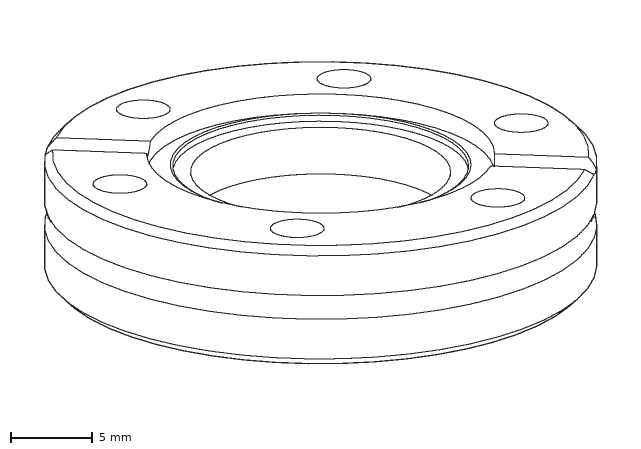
import cadquery as cq
import math

outer_radius = 34.0 / 2
height = 7.75
edge_chamfer = 0.5

bore_radius = 16.0 / 2
socket_radius = 18.0 / 2
socket_depth = 3.5

recess_radius = 21.4 / 2
recess_depth = 1.25
knife_radius = 18.5 / 2
knife_flank_angle = 20.0
knife_bevel_width = 0.15
knife_bevel_angle = 30.0
knife_bevel_drop = knife_bevel_width * math.tan(math.radians(knife_bevel_angle))
inner_floor_radius = knife_radius - knife_bevel_width
inner_floor_depth = 1.2
floor_height = height - inner_floor_depth
recess_corner_height = height - recess_depth
knife_rise = (recess_radius - knife_radius) * math.tan(math.radians(knife_flank_angle))
knife_height = recess_corner_height + knife_rise

bolt_count = 6
bolt_circle_radius = 27.0 / 2
bolt_hole_radius = 3.3 / 2

rim_groove_width = 1.55
rim_groove_depth = 0.2

leak_groove_angles = (30.0, 210.0)
leak_groove_radius = 1.3
leak_groove_depth = 0.6
rim_overrun = 1.0


def revolved_flange():
    """Body with bore, socket, knife edge and rim groove, from one half section (radius, height)."""
    middle = height / 2
    groove_bottom = middle - rim_groove_width / 2
    groove_top = middle + rim_groove_width / 2
    return (
        cq.Workplane("XZ")
        .moveTo(socket_radius, 0)
        .lineTo(outer_radius - edge_chamfer, 0)
        .lineTo(outer_radius, edge_chamfer)
        .lineTo(outer_radius, groove_bottom)
        .threePointArc((outer_radius - rim_groove_depth, middle), (outer_radius, groove_top))
        .lineTo(outer_radius, height - edge_chamfer)
        .lineTo(outer_radius - edge_chamfer, height)
        .lineTo(recess_radius, height)
        .lineTo(recess_radius, recess_corner_height)
        .lineTo(knife_radius, knife_height)
        .lineTo(inner_floor_radius, knife_height - knife_bevel_drop)
        .lineTo(inner_floor_radius, floor_height)
        .lineTo(bore_radius, floor_height)
        .lineTo(bore_radius, socket_depth)
        .lineTo(socket_radius, socket_depth)
        .close()
        .revolve(360, (0, 0, 0), (0, 1, 0))
    )


def bolt_holes():
    """Through holes evenly spaced on the bolt circle."""
    return (
        cq.Workplane("XY")
        .polarArray(bolt_circle_radius, 0, 360, bolt_count)
        .circle(bolt_hole_radius)
        .extrude(height)
    )


def leak_groove(angle):
    """Radial cylinder that cuts a groove from the recess out through the rim."""
    start_radius = knife_radius
    length = outer_radius - start_radius + rim_overrun
    return (
        cq.Workplane("YZ", origin=(start_radius, 0, 0))
        .center(0, height - leak_groove_depth + leak_groove_radius)
        .circle(leak_groove_radius)
        .extrude(length)
        .rotate((0, 0, 0), (0, 0, 1), angle)
    )


result = revolved_flange().cut(bolt_holes())
for groove_angle in leak_groove_angles:
    result = result.cut(leak_groove(groove_angle))